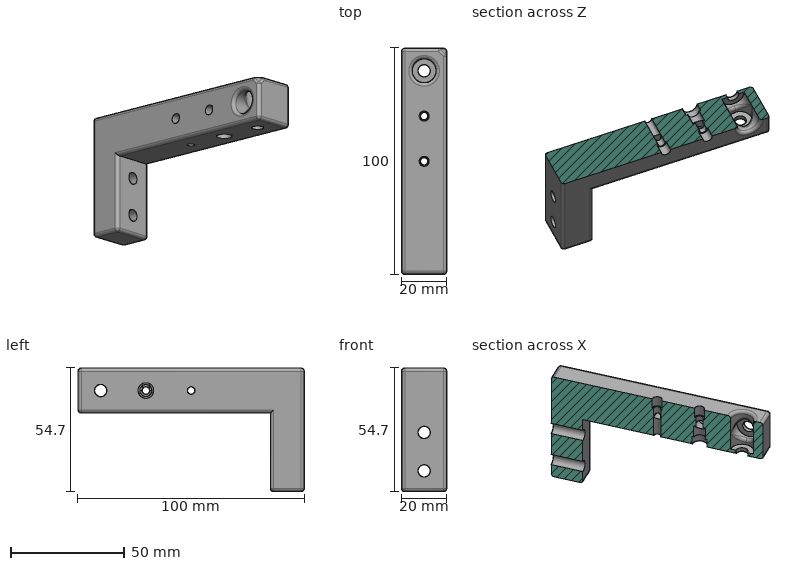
import cadquery as cq
import math

ARM_SIZE = 20.0
LENGTH = 100.0
HEIGHT = 54.7
LEG_THICKNESS = 15.0
EDGE_RADIUS = 1.5
CORNER_CUT = 4.0

ARM_MID_Z = -ARM_SIZE / 2
STATION_PITCH = 20.0
END_STATION_Y = LENGTH - 10.0
MIDDLE_STATION_Y = END_STATION_Y - STATION_PITCH
INNER_STATION_Y = MIDDLE_STATION_Y - STATION_PITCH

CLEARANCE_DIAMETER = 5.3
SMALL_DIAMETER = 3.2
ENTRY_DIAMETER = 4.4
ENTRY_DEPTH = 5.0
COUNTERBORE_DIAMETER = 6.9
COUNTERBORE_DEPTH = 4.0
RECESS_DIAMETER = 10.5
RECESS_FLOOR_THICKNESS = 2.0

LOWER_LEG_HOLE_HEIGHT = 9.2
LEG_HOLE_PITCH = 17.0


def corner_cutter():
    """Tetrahedron that takes off the +X +Y top corner, leaving a slanting flat."""
    corner = cq.Vector(ARM_SIZE / 2, LENGTH, 0)
    ends = [
        corner + cq.Vector(-CORNER_CUT, 0, 0),
        corner + cq.Vector(0, -CORNER_CUT, 0),
        corner + cq.Vector(0, 0, -CORNER_CUT),
    ]
    triangles = [ends]
    for i, end in enumerate(ends):
        triangles.append([corner, end, ends[(i + 1) % len(ends)]])
    faces = [cq.Face.makeFromWires(cq.Wire.makePolygon(points, close=True)) for points in triangles]
    return cq.Workplane(cq.Solid.makeSolid(cq.Shell.makeShell(faces)))


def make_body():
    """L-shaped block with one cut corner and every edge rounded except the inside of the L."""
    outline = [
        (0, 0),
        (LENGTH, 0),
        (LENGTH, -ARM_SIZE),
        (LEG_THICKNESS, -ARM_SIZE),
        (LEG_THICKNESS, -HEIGHT),
        (0, -HEIGHT),
    ]
    block = cq.Workplane("YZ").polyline(outline).close().extrude(ARM_SIZE / 2, both=True)
    block = block.cut(corner_cutter())
    every_edge = cq.selectors.BoxSelector((-ARM_SIZE, -LENGTH, -2 * HEIGHT), (ARM_SIZE, 2 * LENGTH, HEIGHT))
    inner_corner = cq.selectors.NearestToPointSelector((0, LEG_THICKNESS, -ARM_SIZE))
    return block.edges(every_edge - inner_corner).fillet(EDGE_RADIUS)


def cylinder(start, direction, diameter, length):
    """Round cutter running from start along direction."""
    return cq.Workplane(cq.Solid.makeCylinder(diameter / 2, length, cq.Vector(*start), cq.Vector(*direction)))


def from_top(y, diameter, depth):
    """Round cutter sunk into the top face."""
    return cylinder((0, y, 0), (0, 0, -1), diameter, depth)


def from_bottom(y, diameter, depth):
    """Round cutter sunk into the underside of the arm."""
    return cylinder((0, y, -ARM_SIZE), (0, 0, 1), diameter, depth)


def turned_to_side(cutter):
    """The cutter turned about the arm's centre line, so that its top end faces +X."""
    return cutter.rotate((0, 0, ARM_MID_Z), (0, 1, ARM_MID_Z), 90)


def recess_cutter():
    """Deep recess in the top face at the end station, with a rounded mouth."""
    radius = RECESS_DIAMETER / 2
    mouth_radius = radius + EDGE_RADIUS
    floor_z = -(ARM_SIZE - RECESS_FLOOR_THICKNESS)
    arc_inset = EDGE_RADIUS * (1 - math.sqrt(0.5))
    profile = (
        cq.Workplane("XZ")
        .lineTo(mouth_radius, 0)
        .threePointArc((radius + arc_inset, -arc_inset), (radius, -EDGE_RADIUS))
        .lineTo(radius, floor_z)
        .lineTo(0, floor_z)
        .close()
    )
    return profile.revolve(360, (0, 0, 0), (0, 1, 0)).translate((0, END_STATION_Y, 0))


def cut_end_station(part):
    """Crossing recesses in the top and +X faces, each with a clearance hole through its floor."""
    recess = recess_cutter()
    crossing = recess.union(turned_to_side(recess))
    crossing = crossing.edges("%ELLIPSE").fillet(EDGE_RADIUS)
    hole = from_top(END_STATION_Y, CLEARANCE_DIAMETER, ARM_SIZE)
    return part.cut(crossing).cut(hole).cut(turned_to_side(hole))


def cut_crossing_holes(part):
    """Stepped holes, the same vertically and along X, at the middle and inner stations."""
    cutters = [
        from_bottom(MIDDLE_STATION_Y, COUNTERBORE_DIAMETER, COUNTERBORE_DEPTH),
        from_bottom(MIDDLE_STATION_Y, CLEARANCE_DIAMETER, ARM_SIZE / 2),
    ]
    for y in (MIDDLE_STATION_Y, INNER_STATION_Y):
        cutters.append(from_top(y, ENTRY_DIAMETER, ENTRY_DEPTH))
        cutters.append(from_top(y, SMALL_DIAMETER, ARM_SIZE))
    for cutter in cutters:
        part = part.cut(cutter).cut(turned_to_side(cutter))
    return part


def cut_leg_holes(part):
    """Two plain holes through the leg along Y."""
    lower_z = -HEIGHT + LOWER_LEG_HOLE_HEIGHT
    for z in (lower_z, lower_z + LEG_HOLE_PITCH):
        part = part.cut(cylinder((0, 0, z), (0, 1, 0), CLEARANCE_DIAMETER, LEG_THICKNESS))
    return part


result = make_body()
result = cut_end_station(result)
result = cut_crossing_holes(result)
result = cut_leg_holes(result)